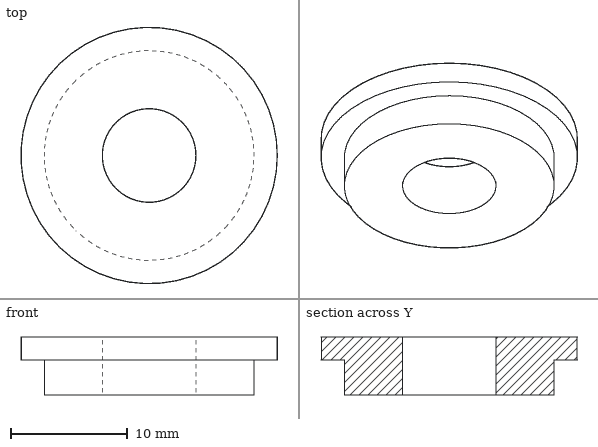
import cadquery as cq

flange_diameter = 22.0
body_diameter = 18.0
bore_diameter = 8.0
total_height = 5.0
flange_thickness = 2.0

body_height = total_height - flange_thickness

body = cq.Workplane("XY").circle(body_diameter / 2).extrude(body_height)

flange = (
    cq.Workplane("XY")
    .workplane(offset=body_height)
    .circle(flange_diameter / 2)
    .extrude(flange_thickness)
)

bore = cq.Workplane("XY").circle(bore_diameter / 2).extrude(total_height)

result = body.union(flange).cut(bore)